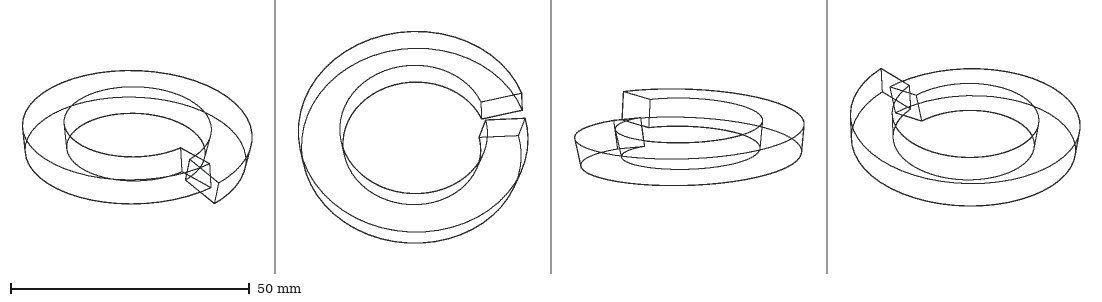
import cadquery as cq

outer_radius = 24.1
bar_width = 8.75
bar_height = 6.05
turn_drop = 5.95
coil_start_angle = -3.5
lower_end_angle = 1.4
upper_end_offset = 1.98
upper_end_tilt = 3.5
trim_depth = 1.55

coil_angle = 360 + coil_start_angle - lower_end_angle


def make_coil():
    """Coil the bar downward around its top outer edge, with a gradual twist."""
    path_height = turn_drop * coil_angle / 360
    helix = cq.Wire.makeHelix(turn_drop, path_height, outer_radius)
    start_plane = cq.Plane(
        origin=helix.startPoint(),
        xDir=(1, 0, 0),
        normal=helix.tangentAt(0),
    )
    section = (
        cq.Workplane(start_plane)
        .center(-bar_width / 2, -bar_height / 2)
        .rect(bar_width, bar_height)
    )
    coil = section.sweep(cq.Workplane(helix))
    coil = coil.rotate((0, 0, 0), (1, 0, 0), 180)
    return coil.rotate((0, 0, 0), (0, 0, 1), coil_start_angle)


def make_end_trim():
    """Leaning block that squares the upper end face parallel to the X axis."""
    block_length = 1.2 * outer_radius
    block_bottom = -bar_height - turn_drop / 4
    block_top = turn_drop / 4
    block = cq.Workplane("XY").box(
        block_length,
        trim_depth,
        block_top - block_bottom,
        centered=(False, False, False),
    )
    block = block.translate((0, 0, block_bottom))
    block = block.rotate((0, 0, 0), (1, 0, 0), upper_end_tilt)
    return block.translate((0, -upper_end_offset, 0))


result = make_coil().cut(make_end_trim())